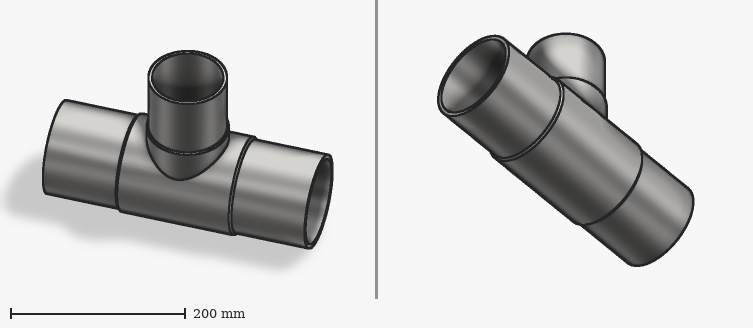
import cadquery as cq

run_length = 313.0
run_diameter = 110.0
run_bore = 99.5

body_length = 138.7
body_diameter = 115.2
body_chamfer = (body_diameter - run_diameter) / 2

branch_top = 150.0
branch_diameter = 90.0
branch_bore = 81.5

collar_top = 75.0
collar_diameter = 94.2
collar_chamfer = (collar_diameter - branch_diameter) / 2


def run_cylinder(diameter, length):
    """Cylinder along X, centred on the origin."""
    return cq.Workplane("YZ", origin=(-length / 2, 0, 0)).circle(diameter / 2).extrude(length)


def branch_cylinder(diameter, top):
    """Cylinder along Z, from the main axis up to the given height."""
    return cq.Workplane("XY").circle(diameter / 2).extrude(top)


run_pipe = run_cylinder(run_diameter, run_length)
body = run_cylinder(body_diameter, body_length).edges().chamfer(body_chamfer)
branch_pipe = branch_cylinder(branch_diameter, branch_top)
collar = branch_cylinder(collar_diameter, collar_top).faces(">Z").edges().chamfer(collar_chamfer)
outside = run_pipe.union(body).union(collar).union(branch_pipe)

result = outside.cut(run_cylinder(run_bore, run_length)).cut(branch_cylinder(branch_bore, branch_top))